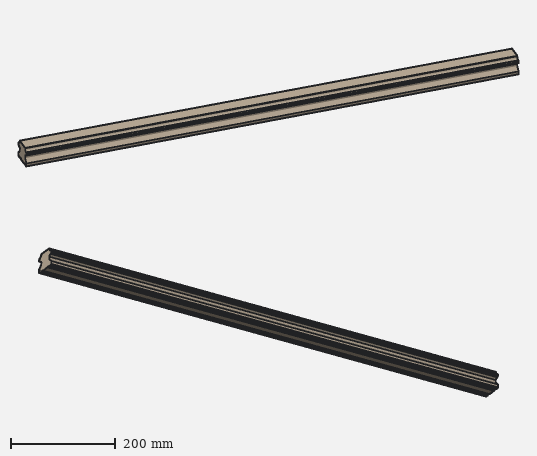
import cadquery as cq
import math

RAIL_LENGTH = 1005.0
RAIL_WIDTH = 45.0
RAIL_HEIGHT = 38.0

TOP_WIDTH = 29.5
TOP_CHAMFER_WIDTH = 0.45
TOP_CHAMFER_DROP = 0.95
HEAD_SIDE_CENTRE_Z = 27.5
HEAD_SIDE_HEIGHT = 2.6
HEAD_SIDE_CHAMFER = 2.3

BALL_GROOVE_RADIUS = 6.3

NECK_WIDTH = 29.5
NECK_TOP_Z = 20.2
NECK_FILLET = 0.6

BASE_SIDE_TOP_Z = 7.55
BASE_SLOPE_DEGREES = 45.0
BASE_CHAMFER = 1.5

CHANNEL_INNER_WIDTH = 16.7
CHANNEL_OUTER_WIDTH = 30.5
CHANNEL_DEPTH = 1.0
CHANNEL_WALL_RUN = 1.25

HALF_WIDTH = RAIL_WIDTH / 2
HALF_NECK = NECK_WIDTH / 2


def add_underside(outline):
    """From the centre line out to the base side, passing one relief channel."""
    channel_inner = CHANNEL_INNER_WIDTH / 2
    channel_outer = CHANNEL_OUTER_WIDTH / 2
    return (
        outline.lineTo(channel_inner, 0)
        .lineTo(channel_inner + CHANNEL_WALL_RUN, CHANNEL_DEPTH)
        .lineTo(channel_outer - CHANNEL_WALL_RUN, CHANNEL_DEPTH)
        .lineTo(channel_outer, 0)
        .lineTo(HALF_WIDTH - BASE_CHAMFER, 0)
        .lineTo(HALF_WIDTH, BASE_CHAMFER)
    )


def add_base_and_neck(outline):
    """Up the base side, in along the slope and up the neck wall through its fillet."""
    slope = math.radians(BASE_SLOPE_DEGREES)
    corner_z = BASE_SIDE_TOP_Z + (HALF_WIDTH - HALF_NECK) * math.tan(slope)
    reach = NECK_FILLET * math.tan((math.pi / 2 - slope) / 2)
    fillet_start = (HALF_NECK + reach * math.cos(slope), corner_z - reach * math.sin(slope))
    fillet_end = (HALF_NECK, corner_z + reach)
    return (
        outline.lineTo(HALF_WIDTH, BASE_SIDE_TOP_Z)
        .lineTo(*fillet_start)
        .radiusArc(fillet_end, NECK_FILLET)
        .lineTo(HALF_NECK, NECK_TOP_Z)
    )


def add_head(outline):
    """Lower ball groove, chamfered head side, upper ball groove and flat top."""
    side_top_z = HEAD_SIDE_CENTRE_Z + HEAD_SIDE_HEIGHT / 2
    side_bottom_z = HEAD_SIDE_CENTRE_Z - HEAD_SIDE_HEIGHT / 2
    groove_edge = HALF_WIDTH - HEAD_SIDE_CHAMFER
    half_top = TOP_WIDTH / 2
    return (
        outline.radiusArc((groove_edge, side_bottom_z - HEAD_SIDE_CHAMFER), BALL_GROOVE_RADIUS)
        .lineTo(HALF_WIDTH, side_bottom_z)
        .lineTo(HALF_WIDTH, side_top_z)
        .lineTo(groove_edge, side_top_z + HEAD_SIDE_CHAMFER)
        .radiusArc((half_top + TOP_CHAMFER_WIDTH, RAIL_HEIGHT - TOP_CHAMFER_DROP), BALL_GROOVE_RADIUS)
        .lineTo(half_top, RAIL_HEIGHT)
        .lineTo(0, RAIL_HEIGHT)
    )


def make_half_rail():
    """Right half of the rail, extruded along Y about the origin."""
    outline = cq.Workplane("XZ").moveTo(0, 0)
    outline = add_underside(outline)
    outline = add_base_and_neck(outline)
    outline = add_head(outline)
    return outline.close().extrude(RAIL_LENGTH / 2, both=True)


half_rail = make_half_rail()
result = half_rail.union(half_rail.mirror("YZ")).clean()